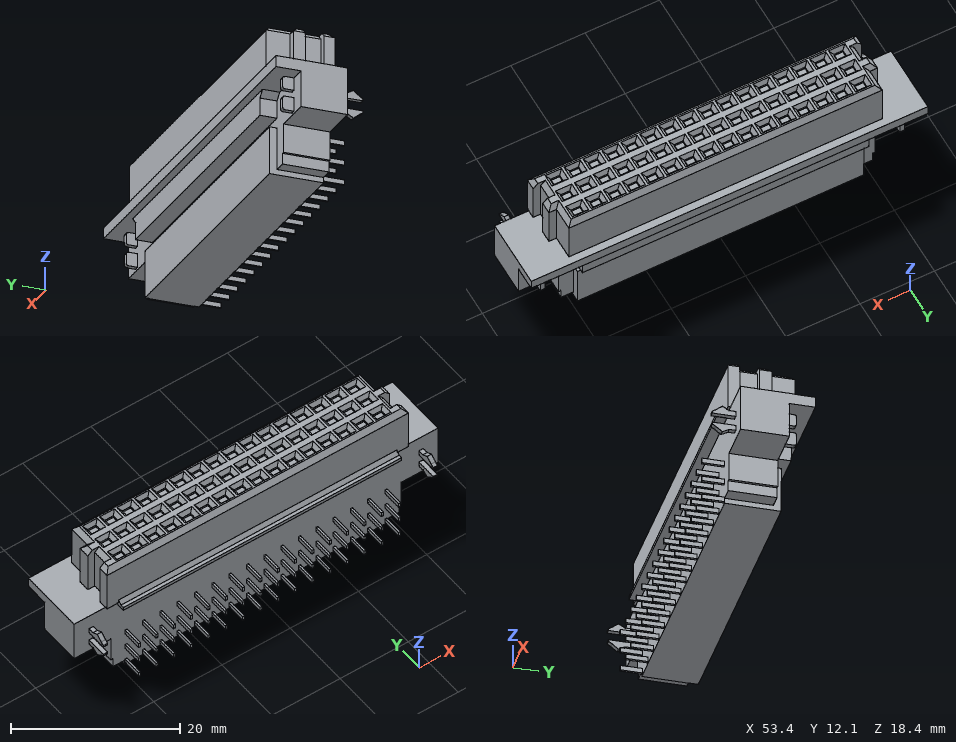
import cadquery as cq


overall_length = 53.35
flange_depth = 9.2
flange_thickness = 1.45
body_depth = 6.0
ear_bottom = -6.1
body_length = 42.55
body_bottom = -9.75
step_length = 41.9
step_bottom = -11.15
core_length = 38.5
core_depth = 6.95
core_bottom = -11.85
core_top = -5.75

housing_height = 6.5
housing_length = 42.15
housing_front = -0.3
housing_back = 8.15
top_chamfer = 0.65
keyed_length = 44.15
key_back = 5.05
slot_front = 1.1
slot_back = 3.5

columns = 16
rows = 3
row_length = 38.1
pitch = row_length / (columns - 1)
first_socket_y = 1.4
socket_mouth = (2.2, 1.7)
socket_bore = (1.25, 0.85)
lead_in_depth = 0.55
bore_depth = 0.8
pin_width = 0.3
pin_height = 0.65
pin_reach = 2.7
first_pin_z = -6.2

embedding = 0.55

rail_length = 40.75
rail_reach = 1.3
rail_bottom = -0.5
rail_slope = 0.5

rib_bottom = -4.5
rib_gusset = 0.8

lock_x = 24.15
lock_width = 0.65
lock_middle_z = -3.5
lock_inner = 0.65
lock_outer = 1.35
lock_barb = 1.8
lock_barb_start = 0.8
lock_barb_peak = 1.65
lock_nose_start = 2.45
lock_reach = 2.9
lock_nose_shoulder = 1.2
lock_nose = 0.9
lock_head_back = 7.4
lock_head_gap = 0.5
lock_head_fillet = 0.25


def block(length, y_front, y_back, z_bottom, z_top):
    """Box centred on X, between the given Y and Z limits."""
    box = cq.Workplane("XY").box(length, y_back - y_front, z_top - z_bottom, centered=(True, False, False))
    return box.translate((0, y_front, z_bottom))


def extrude_along_x(points, length, x_middle=0):
    """Prism of a (Y, Z) outline, centred on x_middle."""
    prism = cq.Workplane("YZ").polyline(points).close().extrude(length / 2, both=True)
    return prism.translate((x_middle, 0, 0))


def make_body():
    body = block(overall_length, 0, flange_depth, -flange_thickness, 0)
    body = body.union(block(overall_length, 0, body_depth, ear_bottom, 0))
    body = body.union(block(body_length, 0, body_depth, body_bottom, 0))
    body = body.union(block(step_length, 0, body_depth, step_bottom, 0))
    return body.union(block(core_length, 0, core_depth, core_bottom, core_top))


def make_rear_rib():
    """Rib below the flange, whose ends flare out where they meet it."""
    rib_half = core_length / 2
    flare_bottom = -flange_thickness - rib_gusset
    half = [
        (rib_half, rib_bottom),
        (rib_half, flare_bottom),
        (rib_half + rib_gusset, -flange_thickness),
    ]
    mirrored = [(-x, z) for x, z in reversed(half)]
    outline = cq.Workplane("XZ").polyline(half + mirrored).close()
    return outline.extrude(-(housing_back - body_depth)).translate((0, body_depth, 0))


def make_housing():
    """Chamfered housing with two polarising keys at each end."""
    main = block(housing_length, housing_front, housing_back, 0, housing_height)
    main = main.faces(">Z").chamfer(top_chamfer)
    keys = block(keyed_length, housing_front, key_back, 0, housing_height)
    keys = keys.faces(">Z").chamfer(top_chamfer)
    keys = keys.cut(block(keyed_length, slot_front, slot_back, 0, housing_height))
    return main.union(keys)


def make_rail():
    outline = [
        (0, rail_bottom),
        (-rail_reach, rail_bottom),
        (-rail_reach, 0),
        (housing_front - rail_slope, 0),
        (housing_front, rail_slope),
        (0, rail_slope),
    ]
    return extrude_along_x(outline, rail_length)


def make_sockets():
    """Rectangular bores with tapered lead-ins, to be cut from the housing."""
    bore = cq.Workplane("XY").rect(*socket_bore).extrude(-bore_depth)
    lead_in = (
        cq.Workplane("XY")
        .rect(*socket_mouth)
        .workplane(offset=-lead_in_depth)
        .rect(*socket_bore)
        .loft()
    )
    socket = bore.union(lead_in).val()
    middle_y = first_socket_y + pitch * (rows - 1) / 2
    return (
        cq.Workplane("XY", origin=(0, middle_y, housing_height))
        .rarray(pitch, pitch, columns, rows)
        .eachpoint(lambda location: socket.moved(location))
    )


def make_pins():
    middle_z = first_pin_z - pitch * (rows - 1) / 2
    return (
        cq.Workplane("XZ", origin=(0, embedding, middle_z))
        .rarray(pitch, pitch, columns, rows)
        .rect(pin_width, pin_height)
        .extrude(pin_reach + embedding)
    )


def make_lock_half(x, side):
    """Barbed prong and rounded rear head on one side (+1 up, -1 down) of the lock's middle."""
    prong_outline = [
        (embedding, lock_inner),
        (-lock_reach, lock_inner),
        (-lock_reach, lock_nose),
        (-lock_nose_start, lock_nose_shoulder),
        (-lock_barb_peak, lock_barb),
        (-lock_barb_start, lock_outer),
        (embedding, lock_outer),
    ]
    prong = extrude_along_x([(y, lock_middle_z + side * z) for y, z in prong_outline], lock_width, x)
    inner_z = lock_middle_z + side * lock_head_gap
    outer_z = -flange_thickness if side > 0 else core_top
    bottom_z, top_z = sorted((inner_z, outer_z))
    head = block(lock_width, body_depth - embedding, lock_head_back, bottom_z, top_z)
    head = head.edges("|X and >Y").fillet(lock_head_fillet)
    return prong.union(head.translate((x, 0, 0)))


result = make_body().union(make_rear_rib()).union(make_housing()).union(make_rail())
result = result.cut(make_sockets()).union(make_pins())
for x in (-lock_x, lock_x):
    for side in (1, -1):
        result = result.union(make_lock_half(x, side))